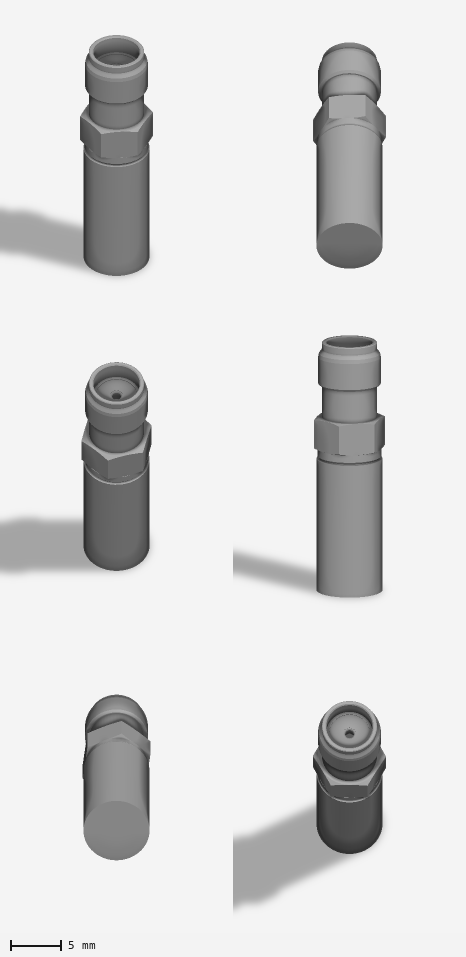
import cadquery as cq

total_height = 25.5

sleeve_radius = 3.302
sleeve_top = 13.52

collar_radius = 3.21
collar_edge_radius = 3.0
collar_bottom = 13.62
collar_chamfer_top = 13.82

hex_across_corners = 7.32
hex_bottom = 14.55
hex_top = 17.8
hex_face_radius = 3.15
hex_corner_drop = 0.18

neck_radius = 2.75
head_radius = 3.14
head_bottom = 21.05
head_edge_radius = 2.9
head_chamfer_top = 21.27
head_shoulder_bottom = 23.95
head_shoulder_top = 24.33
shoulder_radius = 3.05
rim_bottom = 24.74
rim_chamfer = 0.08

bore_radius = 2.32
bore_chamfer = 0.1
bore_depth = 1.85
bore_floor = total_height - bore_depth
insulator_radius = 2.05
insulator_recess = 0.08
contact_radius = 0.65
contact_recess = 0.05
countersink_radius = 0.54
contact_hole_radius = 0.43
contact_hole_depth = 1.02


def revolve_about_z(profile):
    """Turn a closed outline of (radius, height) points about the Z axis."""
    return cq.Workplane("XZ").polyline(profile).close().revolve(360, (0, 0), (0, 1))


def make_turned_body():
    """Revolve the stepped outer profile, given as radius and height, about Z."""
    profile = [
        (0, 0),
        (sleeve_radius, 0),
        (sleeve_radius, sleeve_top),
        (collar_edge_radius, sleeve_top),
        (collar_edge_radius, collar_bottom),
        (collar_radius, collar_chamfer_top),
        (collar_radius, hex_bottom),
        (neck_radius, hex_bottom),
        (neck_radius, head_bottom),
        (head_edge_radius, head_bottom),
        (head_radius, head_chamfer_top),
        (head_radius, head_shoulder_bottom),
        (shoulder_radius, head_shoulder_top),
        (neck_radius, rim_bottom),
        (neck_radius, total_height - rim_chamfer),
        (neck_radius - rim_chamfer, total_height),
        (0, total_height),
    ]
    return revolve_about_z(profile)


def make_hexagon():
    """Hexagonal prism whose corners are turned down by a cone at both ends."""
    corner_radius = hex_across_corners / 2
    prism = (
        cq.Workplane("XY")
        .workplane(offset=hex_bottom)
        .polygon(6, hex_across_corners)
        .extrude(hex_top - hex_bottom)
    )
    envelope = [
        (0, hex_bottom),
        (hex_face_radius, hex_bottom),
        (corner_radius, hex_bottom + hex_corner_drop),
        (corner_radius, hex_top - hex_corner_drop),
        (hex_face_radius, hex_top),
        (0, hex_top),
    ]
    return prism.intersect(revolve_about_z(envelope))


def make_socket():
    """Revolve the hollow inside: chamfered bore, insulator recess and contact hole."""
    insulator_face = bore_floor - insulator_recess
    contact_face = insulator_face - contact_recess
    countersink_bottom = contact_face - (countersink_radius - contact_hole_radius)
    hole_bottom = contact_face - contact_hole_depth
    profile = [
        (0, hole_bottom),
        (contact_hole_radius, hole_bottom),
        (contact_hole_radius, countersink_bottom),
        (countersink_radius, contact_face),
        (contact_radius, contact_face),
        (contact_radius, insulator_face),
        (insulator_radius, insulator_face),
        (insulator_radius, bore_floor),
        (bore_radius, bore_floor),
        (bore_radius, total_height - bore_chamfer),
        (bore_radius + bore_chamfer, total_height),
        (0, total_height),
    ]
    return revolve_about_z(profile)


result = make_turned_body().union(make_hexagon()).cut(make_socket())